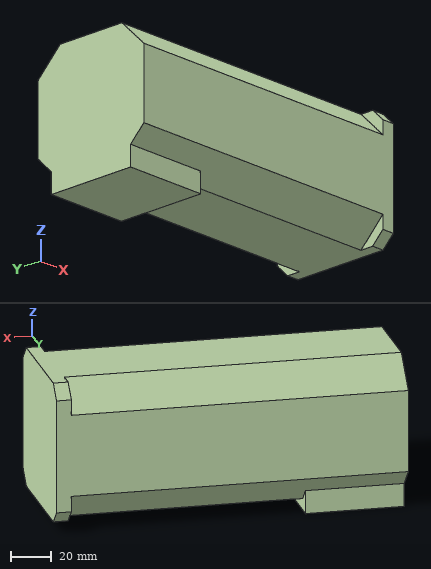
import cadquery as cq

total_length = 178.0
section_size = 72.0
flange_thickness = 7.5
body_corner_chamfer = 15.0
flange_corner_chamfer = 7.0

block_length = 50.0
block_width = 54.0
block_height = 12.0
block_drop = 6.0

body_length = total_length - flange_thickness
block_bottom = -section_size / 2 - block_drop


def chamfered_square_bar(start_x, length, corner_chamfer):
    """Square bar along X with its four long edges chamfered."""
    return (
        cq.Workplane("YZ", origin=(start_x, 0, 0))
        .rect(section_size, section_size)
        .extrude(length)
        .edges("|X")
        .chamfer(corner_chamfer)
    )


def connector_block():
    """Rectangular block, flush with the free end of the body."""
    return cq.Workplane("XY", origin=(0, 0, block_bottom)).box(
        block_length, block_width, block_height, centered=(False, True, False)
    )


body = chamfered_square_bar(0, body_length, body_corner_chamfer)
flange = chamfered_square_bar(body_length, flange_thickness, flange_corner_chamfer)

result = body.union(flange).union(connector_block())